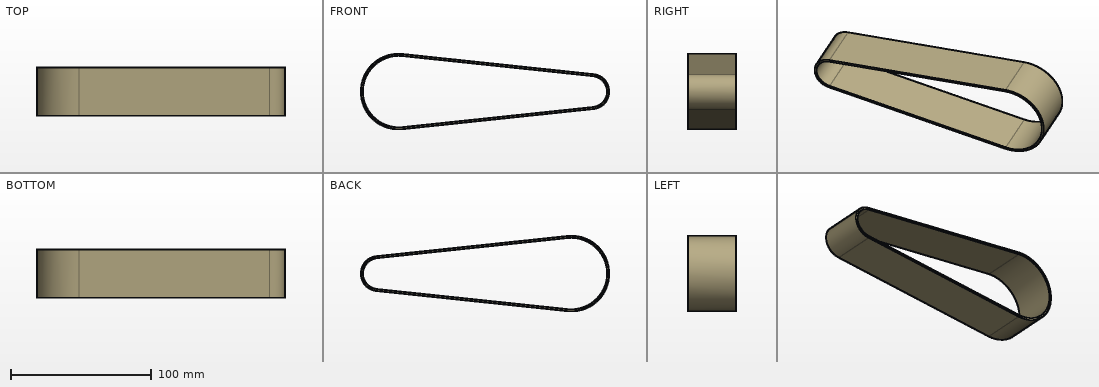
import cadquery as cq
import math

length = 176.9
width = 34.5
height = 54.0
large_radius = height / 2
small_radius = 12.5
thickness = 1.6

large_center_x = -length / 2 + large_radius
small_center_x = length / 2 - small_radius
center_distance = small_center_x - large_center_x

taper_angle = math.asin((large_radius - small_radius) / center_distance)


def tangent_point(center_x, radius):
    """Upper point where a straight run meets an arc."""
    return (
        center_x + radius * math.sin(taper_angle),
        radius * math.cos(taper_angle),
    )


def belt_loop(inset):
    """Solid bounded by the belt's outer face moved inward by inset."""
    large_r = large_radius - inset
    small_r = small_radius - inset
    large_x, large_z = tangent_point(large_center_x, large_r)
    small_x, small_z = tangent_point(small_center_x, small_r)
    return (
        cq.Workplane("XZ")
        .moveTo(large_x, large_z)
        .lineTo(small_x, small_z)
        .threePointArc((small_center_x + small_r, 0), (small_x, -small_z))
        .lineTo(large_x, -large_z)
        .threePointArc((large_center_x - large_r, 0), (large_x, large_z))
        .close()
        .extrude(width / 2, both=True)
    )


result = belt_loop(0).cut(belt_loop(thickness))